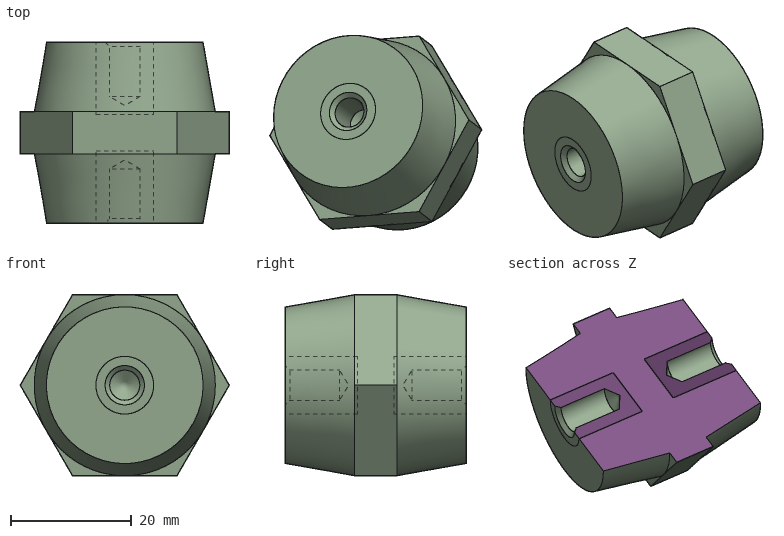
import cadquery as cq
import math


hex_sides = 6
hex_across_corners = 34.65
hex_across_flats = hex_across_corners * math.cos(math.pi / hex_sides)
collar_thickness = 7.0
body_length = hex_across_flats
taper_angle = 10.0
half_length = body_length / 2
half_collar = collar_thickness / 2
base_radius = hex_across_flats / 2
end_radius = base_radius - (half_length - half_collar) * math.tan(math.radians(taper_angle))

insert_radius = 4.78
insert_length = 12.0
bore_radius = 2.5
bore_depth = 9.0
bore_tip_angle = 118.0
bore_tip_depth = bore_radius / math.tan(math.radians(bore_tip_angle / 2))
countersink_radius = 3.25
countersink_depth = countersink_radius - bore_radius

FRONT_END = -1
BACK_END = 1


def revolve_about_y(profile):
    """Turn a closed (radius, y) profile into a solid of revolution around the Y axis."""
    return cq.Workplane("XY").polyline(profile).close().revolve(360, (0, 0, 0), (0, 1, 0))


def make_collar():
    """Hexagonal collar around the middle, with corners on the X axis."""
    return cq.Workplane("XZ").polygon(hex_sides, hex_across_corners).extrude(half_collar, both=True)


def make_tapered_core():
    """Round core that narrows from the collar towards both ends."""
    return revolve_about_y([
        (0, -half_length),
        (end_radius, -half_length),
        (base_radius, -half_collar),
        (base_radius, half_collar),
        (end_radius, half_length),
        (0, half_length),
    ])


def make_insert_recess(end):
    """Plain cylinder that an insert fills, measured inwards from one end face."""
    face_y = end * half_length
    inner_y = end * (half_length - insert_length)
    return revolve_about_y([
        (0, face_y),
        (insert_radius, face_y),
        (insert_radius, inner_y),
        (0, inner_y),
    ])


def make_bore(end):
    """Blind drilled bore with a countersunk mouth and a conical bottom."""
    face_y = end * half_length
    return revolve_about_y([
        (0, face_y),
        (countersink_radius, face_y),
        (bore_radius, end * (half_length - countersink_depth)),
        (bore_radius, end * (half_length - bore_depth)),
        (0, end * (half_length - bore_depth - bore_tip_depth)),
    ])


def make_insulator():
    """Insulator body with a recess for an insert in each end."""
    insulator = make_collar().union(make_tapered_core())
    for end in (FRONT_END, BACK_END):
        insulator = insulator.cut(make_insert_recess(end))
    return insulator


def make_insert(end):
    """Insert that fills the recess in one end of the insulator."""
    return make_insert_recess(end).cut(make_bore(end))


insulator = make_insulator()
inserts = [make_insert(end).val() for end in (FRONT_END, BACK_END)]

result = cq.Compound.makeCompound([insulator.val(), *inserts])